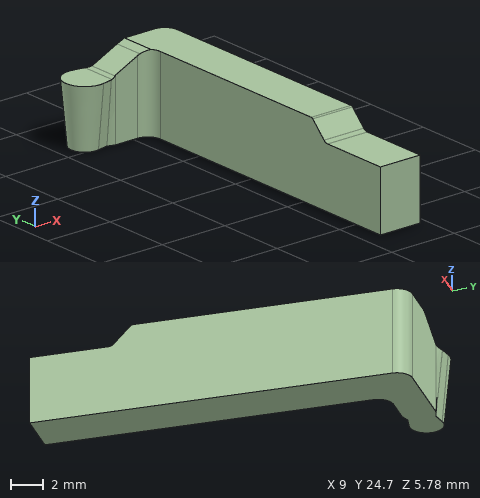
import cadquery as cq
import math

total_length = 24.7
total_width = 9.0
total_height = 5.78
bar_width = 3.19
corner_radius = 1.0

low_height = 4.5
head_radius = 1.5
head_draft = 5.3
flank_angle = 11.0
arm_width = 2.2
neck_start = 2.52
neck_end = 3.06

ramp_blend_start = 2.62
ramp_bend_x = 5.0
ramp_bend_drop = 0.25
ramp_top_x = 5.58
ramp_blend_radius = 0.9

step_length = 5.25
step_blend_radius = 0.5
step_edge_radius = 0.2

head_y = total_length - head_radius
arm_back = head_y + arm_width / 2
arm_front = head_y - arm_width / 2
bar_left = total_width - bar_width


def flank_half_width(x):
    """Half width of the head's top outline along its straight flanks."""
    angle = math.radians(flank_angle)
    return head_radius / math.cos(angle) - (x - head_radius) * math.tan(angle)


def make_body():
    """L-shaped bar and arm with rounded inner and outer corners."""
    outline = [
        (neck_end, arm_back),
        (total_width, arm_back),
        (total_width, 0),
        (bar_left, 0),
        (bar_left, arm_front),
        (neck_end, arm_front),
    ]
    body = cq.Workplane("XY").polyline(outline).close().extrude(total_height)
    outer_corner = cq.selectors.NearestToPointSelector((total_width, arm_back, total_height / 2))
    inner_corner = cq.selectors.NearestToPointSelector((bar_left, arm_front, total_height / 2))
    return body.edges("|Z").edges(outer_corner + inner_corner).fillet(corner_radius)


def make_head():
    """Round head with converging flanks, drafted inward toward the bottom."""
    angle = math.radians(flank_angle)
    tangent_x = head_radius * (1 + math.sin(angle))
    tangent_y = head_radius * math.cos(angle)
    end_half = flank_half_width(neck_end)
    head = (
        cq.Workplane("XY", origin=(0, head_y, low_height))
        .moveTo(neck_end, end_half)
        .lineTo(tangent_x, tangent_y)
        .threePointArc((0, 0), (tangent_x, -tangent_y))
        .lineTo(neck_end, -end_half)
        .close()
        .extrude(-low_height, taper=head_draft)
    )
    keep = cq.Workplane("XY").box(neck_start, total_length, low_height, centered=False)
    return head.intersect(keep)


def make_neck():
    """Full-height transition from the drafted head to the upright arm."""
    angle = math.radians(flank_angle)
    draft_slope = math.tan(math.radians(head_draft)) / math.cos(angle)
    level_half = flank_half_width(neck_start)
    bottom_half = level_half - low_height * draft_slope
    top_half = level_half + (total_height - low_height) * draft_slope
    arm_half = arm_width / 2
    head_section = [
        (head_y - bottom_half, 0),
        (head_y + bottom_half, 0),
        (head_y + top_half, total_height),
        (head_y - top_half, total_height),
    ]
    arm_section = [
        (head_y - arm_half, 0),
        (head_y + arm_half, 0),
        (head_y + arm_half, total_height),
        (head_y - arm_half, total_height),
    ]
    return (
        cq.Workplane("YZ", origin=(neck_start, 0, 0))
        .polyline(head_section).close()
        .workplane(offset=neck_end - neck_start)
        .polyline(arm_section).close()
        .loft(ruled=True)
    )


def make_ramp_cut():
    """Material above the ramp, which blends into the level of the head."""
    bend_z = total_height - ramp_bend_drop
    ramp_foot = ramp_blend_start + ramp_blend_radius * math.tan(
        math.atan2(bend_z - low_height, ramp_bend_x - ramp_blend_start) / 2
    )
    profile = [
        (0, low_height),
        (ramp_foot, low_height),
        (ramp_bend_x, bend_z),
        (ramp_top_x, total_height),
        (0, total_height),
    ]
    cut = (
        cq.Workplane("XZ", origin=(0, total_length, 0))
        .polyline(profile).close()
        .extrude(2 * head_radius + corner_radius)
    )
    foot = cq.selectors.NearestToPointSelector((ramp_foot, head_y, low_height))
    return cut.edges("|Y").edges(foot).fillet(ramp_blend_radius)


def cut_step(part):
    """Lower the free end of the bar and round both ends of its slope."""
    rise = total_height - low_height
    profile = [
        (0, low_height),
        (step_length, low_height),
        (step_length + rise, total_height),
        (0, total_height),
    ]
    cut = (
        cq.Workplane("YZ", origin=(bar_left, 0, 0))
        .polyline(profile).close()
        .extrude(bar_width)
    )
    part = part.cut(cut)
    middle_x = bar_left + bar_width / 2
    foot = cq.selectors.NearestToPointSelector((middle_x, step_length, low_height))
    crest = cq.selectors.NearestToPointSelector((middle_x, step_length + rise, total_height))
    part = part.edges("|X").edges(foot).fillet(step_blend_radius)
    return part.edges("|X").edges(crest).fillet(step_edge_radius)


body = make_body().union(make_neck())
body = cut_step(body.cut(make_ramp_cut()))
result = body.union(make_head())